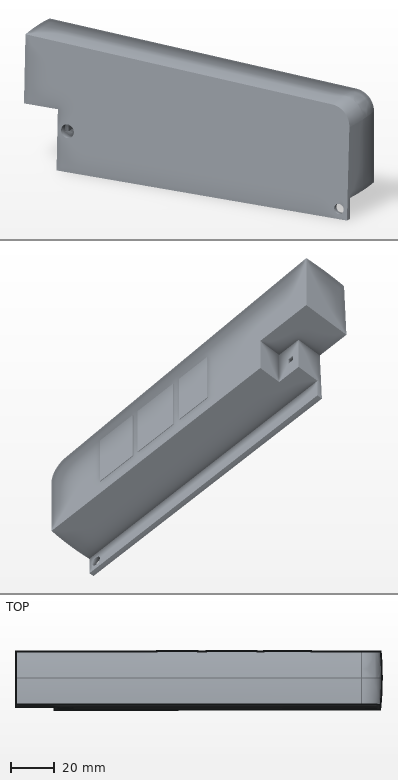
import cadquery as cq
import math

length = 167.1
height = 62.8
shell_depth = 12.0
front_lean = 2.8
pad_thickness = 0.3

top_drop = 8.7
corner_radius = 10.0
crown_radius = 133.7
step_length = 17.4
step_height = 29.2
skirt_height = 10.2
rear_shell_start = 30.0

screw_x = step_length + 5.2
screw_z = 19.5
counterbore_diameter = 6.5
counterbore_floor = -10.7
bridge_slot_depth = 0.5
square_hole_side = 3.0
skirt_hole_diameter = 4.8
skirt_hole_x = 162.1
skirt_hole_z = 4.8

pad_spans = [(64.3, 82.9), (86.9, 110.0), (113.1, 134.7)]
pad_bottom = 18.0
pad_top = 46.6

margin = 3.3

top_slope = math.atan2(top_drop, length)
slope_sin = math.sin(top_slope)
slope_cos = math.cos(top_slope)
slope_rise = top_drop / length
corner_x = length - corner_radius
corner_z = height - corner_x * slope_rise - corner_radius / slope_cos
corner_start = (corner_x + corner_radius * slope_sin, corner_z + corner_radius * slope_cos)
arc_middle_angle = (math.pi / 2 - top_slope) / 2
corner_middle = (
    corner_x + corner_radius * math.cos(arc_middle_angle),
    corner_z + corner_radius * math.sin(arc_middle_angle),
)
corner_end = (length, corner_z)

slope_start = (-margin, height + margin * slope_rise)
slope_plane = cq.Plane(
    origin=(slope_start[0], 0, slope_start[1]),
    xDir=(0, 1, 0),
    normal=(slope_cos, 0, -slope_sin),
)


def extrude_along_y(sketch, y_start, y_end):
    """Extrude a sketch drawn on the XZ plane between two Y positions."""
    return sketch.extrude(y_start - y_end).translate((0, y_start, 0))


def box_between(x_range, y_range, z_range):
    corner = (x_range[0], y_range[0], z_range[0])
    size = [end - start for start, end in (x_range, y_range, z_range)]
    return cq.Workplane("XY").box(*size, centered=False).translate(corner)


def shell(y_start, y_end, bottom, lower_start):
    """Prism of the side outline; lower_start is its left end below the notch."""
    sketch = (
        cq.Workplane("XZ")
        .moveTo(0, step_height)
        .lineTo(0, height)
        .lineTo(*corner_start)
        .threePointArc(corner_middle, corner_end)
        .lineTo(length, bottom)
        .lineTo(lower_start, bottom)
        .lineTo(lower_start, step_height)
        .close()
    )
    return extrude_along_y(sketch, y_start, y_end)


def front_shell():
    """Front half with its leaning face and the thin skirt along the bottom."""
    front_y = -shell_depth - front_lean
    body = shell(front_y, 0, 0, step_length)
    under_body = box_between((0, length + margin), (-shell_depth, margin), (-margin, skirt_height))
    lowest_corner = (height - step_length * slope_rise) * slope_cos
    ahead_of_face = (
        cq.Workplane(slope_plane)
        .moveTo(front_y, -lowest_corner)
        .lineTo(-shell_depth, 0)
        .lineTo(-shell_depth, margin)
        .lineTo(front_y - margin, margin)
        .lineTo(front_y - margin, -lowest_corner)
        .close()
        .extrude(length + 4 * margin)
    )
    return body.cut(under_body).cut(ahead_of_face)


def crown_cutter():
    """Sweep the material outside the crowned edge along the top, corner and right end."""
    path = (
        cq.Workplane("XZ")
        .moveTo(*slope_start)
        .lineTo(*corner_start)
        .threePointArc(corner_middle, corner_end)
        .lineTo(length, -margin)
    )
    half_width = shell_depth + front_lean + margin
    drop = crown_radius - math.sqrt(crown_radius**2 - half_width**2)
    flank_drop = crown_radius - math.sqrt(crown_radius**2 - (half_width / 2) ** 2)
    profile = (
        cq.Workplane(slope_plane)
        .moveTo(-half_width, -drop)
        .threePointArc((-half_width / 2, -flank_drop), (0, 0))
        .threePointArc((half_width / 2, -flank_drop), (half_width, -drop))
        .lineTo(half_width, margin)
        .lineTo(-half_width, margin)
        .close()
    )
    return profile.sweep(path)


def round_hole(x, z, diameter, y_start, y_end):
    sketch = cq.Workplane("XZ").center(x, z).circle(diameter / 2)
    return extrude_along_y(sketch, y_start, y_end)


def screw_hole():
    """Counterbore, then a shallow slot across its floor, then a square hole to the joint."""
    half_side = square_hole_side / 2
    z_range = (screw_z - half_side, screw_z + half_side)
    front_y = -shell_depth - front_lean - margin
    bore = round_hole(screw_x, screw_z, counterbore_diameter, front_y, counterbore_floor)
    slot_end = counterbore_floor + bridge_slot_depth
    slot = round_hole(screw_x, screw_z, counterbore_diameter, counterbore_floor, slot_end).intersect(
        box_between((0, length), (counterbore_floor, slot_end), z_range)
    )
    square = box_between((screw_x - half_side, screw_x + half_side), (slot_end, margin), z_range)
    return bore.union(slot).union(square)


def skirt_hole():
    front_y = -shell_depth - front_lean - margin
    return round_hole(skirt_hole_x, skirt_hole_z, skirt_hole_diameter, front_y, 0)


front = front_shell().cut(screw_hole()).cut(skirt_hole())
rear = shell(0, shell_depth, skirt_height, rear_shell_start)

result = front.union(rear).cut(crown_cutter(), clean=False)

for left, right in pad_spans:
    pad = box_between((left, right), (0, shell_depth + pad_thickness), (pad_bottom, pad_top))
    result = result.union(pad, clean=False)